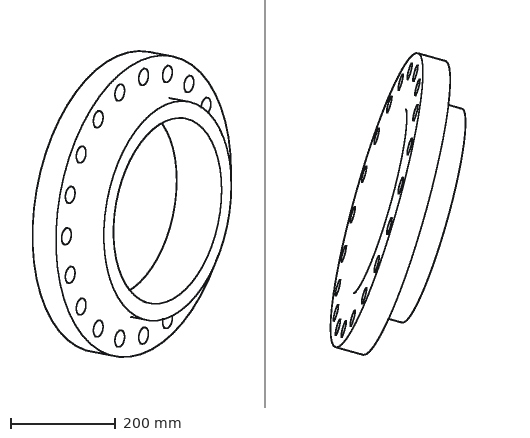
import cadquery as cq

flange_diameter = 584.0
flange_thickness = 55.0
total_length = 111.0

hub_diameter = 425.5
bore_diameter = 360.0
root_fillet = 12.0
mouth_fillet = 12.0

bolt_count = 20
bolt_circle_diameter = 514.0
bolt_hole_diameter = 32.0


def make_body():
    """Revolve the half section, drawn as (x, radius), about the X axis."""
    flange_radius = flange_diameter / 2
    hub_radius = hub_diameter / 2
    bore_radius = bore_diameter / 2
    section = (
        cq.Workplane("XY")
        .moveTo(0, bore_radius + mouth_fillet)
        .lineTo(0, flange_radius)
        .lineTo(flange_thickness, flange_radius)
        .lineTo(flange_thickness, hub_radius + root_fillet)
        .radiusArc((flange_thickness + root_fillet, hub_radius), -root_fillet)
        .lineTo(total_length, hub_radius)
        .lineTo(total_length, bore_radius)
        .lineTo(mouth_fillet, bore_radius)
        .radiusArc((0, bore_radius + mouth_fillet), mouth_fillet)
        .close()
    )
    return section.revolve(360, (0, 0, 0), (1, 0, 0))


def make_bolt_holes():
    """Evenly spaced through holes, the first one on the Y axis."""
    return (
        cq.Workplane("YZ")
        .polarArray(bolt_circle_diameter / 2, 0, 360, bolt_count)
        .circle(bolt_hole_diameter / 2)
        .extrude(flange_thickness)
    )


result = make_body().cut(make_bolt_holes())